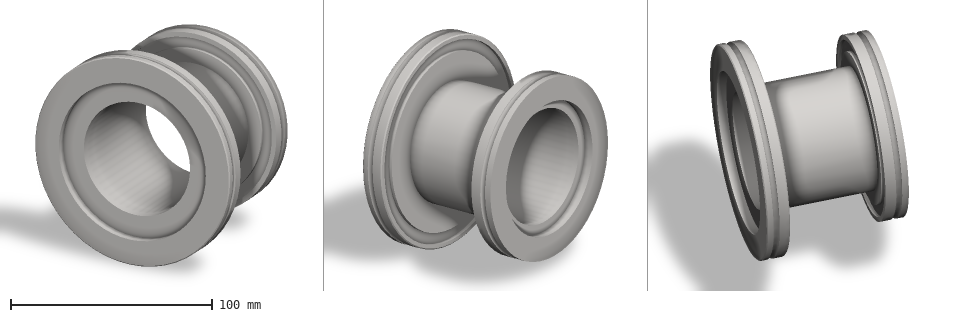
import cadquery as cq

length = 75.0
flange_thickness = 12.0
bore_diameter = 60.0
tube_diameter = 63.5

front_diameter = 110.0
front_recess_diameter = 83.0
front_boss_diameter = 93.0
front_edge_chamfer = 0.5

back_diameter = 95.0
back_recess_diameter = 70.0
back_boss_diameter = 78.0

seal_recess_depth = 5.0
rim_groove_radius = 1.5
rim_groove_offset = 5.0
clamp_rim_width = 2.5
clamp_groove_depth = 2.0


def cylinder(diameter, height, start=0.0):
    """Solid disc on the pipe axis, running from start toward +Y."""
    disc = cq.Workplane("XZ").circle(diameter / 2).extrude(-height)
    return disc.translate((0, start, 0))


def flange(diameter, recess_diameter, boss_diameter, edge_chamfer=0.0):
    """Flange with its sealing face at Y = 0 and its clamping face toward +Y."""
    body = cylinder(diameter, flange_thickness)
    if edge_chamfer > 0:
        body = body.edges().chamfer(edge_chamfer)

    rim_groove = cq.Workplane("XY").add(
        cq.Solid.makeTorus(
            diameter / 2,
            rim_groove_radius,
            cq.Vector(0, rim_groove_offset, 0),
            cq.Vector(0, 1, 0),
        )
    )

    groove_start = flange_thickness - clamp_groove_depth
    clamp_groove = cylinder(diameter - 2 * clamp_rim_width, clamp_groove_depth, groove_start)
    boss = cylinder(boss_diameter, clamp_groove_depth, groove_start)

    seal_recess = cylinder(recess_diameter, seal_recess_depth)
    return body.cut(rim_groove).cut(clamp_groove.cut(boss)).cut(seal_recess)


front_flange = flange(front_diameter, front_recess_diameter, front_boss_diameter, front_edge_chamfer)

back_flange = flange(back_diameter, back_recess_diameter, back_boss_diameter)
back_flange = back_flange.rotate((0, 0, 0), (0, 0, 1), 180).translate((0, length, 0))

tube_length = length - 2 * seal_recess_depth
tube = cylinder(tube_diameter, tube_length, seal_recess_depth)
bore = cylinder(bore_diameter, length)

result = front_flange.union(tube).union(back_flange).cut(bore)